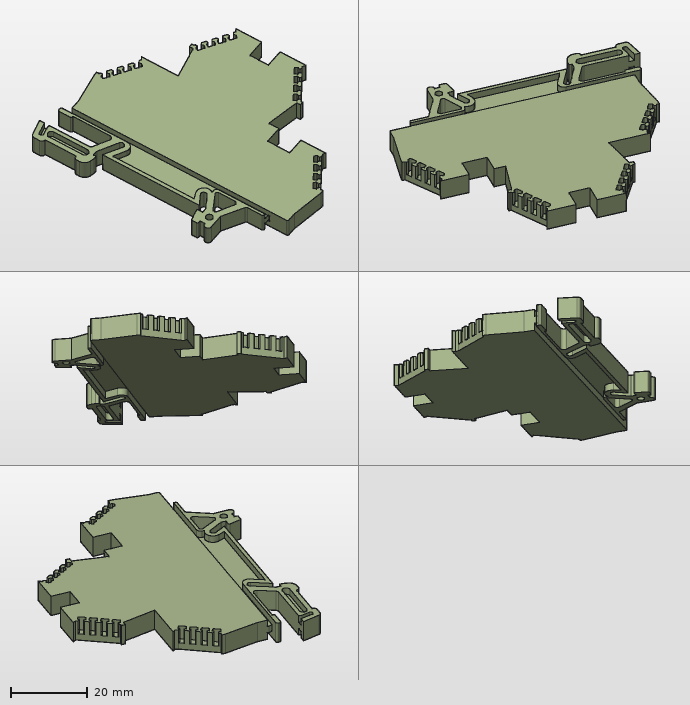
import cadquery as cq
import math


THICKNESS = 6.0
WEB_BOTTOM = 2.0
WEB_TOP = 4.0
MARKER_SLOT_DEPTH = 4.0

TOP_Y = 61.0
SHOULDER_Y = 39.0
HOUSING_BOTTOM_Y = 14.05

UPPER_CENTRE_X = 35.77
LOWER_CENTRE_X = 39.03
UPPER_NOTCH_WIDTH = 5.9
UPPER_NOTCH_DEPTH = 5.5
LOWER_NOTCH_LEFT = 53.45
LOWER_NOTCH_WIDTH = 7.0
LOWER_NOTCH_DEPTH = 5.25
HOUSING_CORNER_RADIUS = 0.5

RECESS_WIDTH = 0.5
RECESS_DEPTH = 0.5

UPPER_HALF_PROFILE = [
    (11.15, TOP_Y),
    (10.6, 60.05),
    (17.05, 50.05),
    (17.7, 50.05),
    (17.7, 48.95),
    (16.5, 48.95),
    (14.45, SHOULDER_Y),
]
LOWER_HALF_PROFILE = [
    (29.45, SHOULDER_Y),
    (28.85, 38.3),
    (29.15, 37.3),
    (35.3, 27.95),
    (36.07, 27.95),
    (36.07, 27.0),
    (34.4, 17.0),
    (34.4, HOUSING_BOTTOM_Y),
]
UPPER_MARKER_EDGE = UPPER_HALF_PROFILE[1:3]
LOWER_MARKER_EDGE = LOWER_HALF_PROFILE[2:4]

MARKER_COUNT = 4
MARKER_PITCH = 3.05
UPPER_MARKER_START = 1.45
LOWER_MARKER_START = 0.75
SLOT_MOUTH_HALF = 0.85
SLOT_NECK_HALF = 0.55
SLOT_HEAD_HALF = 1.15
SLOT_END_HALF = 1.05
SLOT_NECK_DEPTH = 0.6
SLOT_HEAD_DEPTH = 1.1
SLOT_END_DEPTH = 2.05
SLOT_END_RADIUS = 0.3
SLOT_OVERCUT = 0.3

CLIP_RIGHT_X = 67.05
CLIP_TOP_Y = 12.6
CLIP_TOP_RIGHT_Y = 12.75
STRIP_Y = 11.85
RAIL_BOTTOM_Y = 5.35
RAIL_FLOOR_Y = 6.45
FOOT_TOP_Y = 5.75
FOOT_STEP_Y = 3.95
FOOT_RECESS_Y = 1.04

WEB_LEFT_X = LOWER_CENTRE_X - LOWER_HALF_PROFILE[-1][0]
WEB_LEFT_CORNER_Y = 13.6
WEB_LEFT_LOW_X = 4.95

RAIL_INNER_EDGE = [
    (CLIP_RIGHT_X, CLIP_TOP_RIGHT_Y, 0),
    (51.5, CLIP_TOP_RIGHT_Y, 1.2),
    (51.3, 11.02, 0),
    (49.92, 11.95, 2.2),
    (47.34, 9.85, 2.2),
    (48.75, RAIL_FLOOR_Y, 0),
    (22.85, RAIL_FLOOR_Y, 0),
    (26.2, CLIP_TOP_Y, 1.7),
    (WEB_LEFT_LOW_X, CLIP_TOP_Y, 0),
]

CLIP_OUTER_EDGE = [
    (2.1, CLIP_TOP_Y, 0.5),
    (2.1, 11.2, 0.5),
    (6.4, 11.2, 0.4),
    (6.5, STRIP_Y, 0),
    (19.75, STRIP_Y, 0.9),
    (16.3, FOOT_TOP_Y, 0.9),
    (0.0, FOOT_TOP_Y, 0),
    (1.4, 0.0, 1.0),
    (5.05, 0.0, 1.03),
    (5.05, FOOT_RECESS_Y, 0),
    (14.85, FOOT_RECESS_Y, 0),
    (14.85, 0.0, 0.95),
    (18.55, 0.0, 2.4),
    (19.3, 3.0, 0),
    (19.3, FOOT_STEP_Y, 0),
    (18.4, FOOT_STEP_Y, 0),
    (18.4, RAIL_BOTTOM_Y, 0.5),
    (22.0, 11.9, 0.8),
    (23.75, 11.3, 0.8),
    (20.35, RAIL_BOTTOM_Y, 0),
    (51.15, RAIL_BOTTOM_Y, 0),
    (48.85, 9.33, 0.85),
    (50.4, 10.22, 0.85),
    (53.2, RAIL_BOTTOM_Y, 0.5),
    (53.2, FOOT_STEP_Y, 0),
    (51.4, FOOT_STEP_Y, 0.3),
    (52.3, 0.0, 0.3),
    (54.3, 0.0, 0.3),
    (54.4, FOOT_RECESS_Y, 0),
    (55.87, FOOT_RECESS_Y, 0),
    (55.87, 0.0, 1.03),
    (57.95, 0.0, 1.03),
    (57.95, 5.4, 0),
    (61.7, STRIP_Y, 0.6),
    (CLIP_RIGHT_X, STRIP_Y, 0.4),
]

WINDOW = [
    (51.85, STRIP_Y, 0.6),
    (59.35, STRIP_Y, 0.8),
    (55.55, 5.1, 0.75),
]
FOOT_HOLE_CENTRE = (55.65, 3.5)
FOOT_HOLE_DIAMETER = 2.0

FOOT_POCKET_CENTRE = (10.65, 3.5)
FOOT_POCKET_LENGTH = 12.8
FOOT_POCKET_WIDTH = 2.1
FOOT_SLIT = [
    (1.6, FOOT_TOP_Y, 0),
    (2.45, 1.8, 0.5),
    (3.75, 1.8, 0.5),
    (3.05, 4.8, 0.3),
    (3.1, FOOT_TOP_Y, 0),
]


def draw_rounded(points):
    """Closed outline through (x, y, radius) corners, each rounded by a tangent arc."""
    pieces = []
    for index, (x, y, radius) in enumerate(points):
        corner = cq.Vector(x, y)
        if radius == 0:
            pieces.append((corner, None, corner))
            continue
        before = cq.Vector(*points[index - 1][:2])
        after = cq.Vector(*points[(index + 1) % len(points)][:2])
        to_before = (before - corner).normalized()
        to_after = (after - corner).normalized()
        half_angle = to_before.getAngle(to_after) / 2
        tangent_length = radius / math.tan(half_angle)
        bisector = (to_before + to_after).normalized()
        middle = corner + bisector * (radius / math.sin(half_angle) - radius)
        start = corner + to_before * tangent_length
        end = corner + to_after * tangent_length
        pieces.append((start, middle, end))

    outline = cq.Workplane("XY").moveTo(*pieces[0][2].toTuple()[:2])
    for start, middle, end in pieces[1:] + pieces[:1]:
        outline = outline.lineTo(start.x, start.y)
        if middle is not None:
            outline = outline.threePointArc((middle.x, middle.y), (end.x, end.y))
    return outline.close()


def plate(points, bottom=0.0, top=THICKNESS):
    """Flat plate with a rounded outline between two Z levels."""
    return draw_rounded(points).extrude(top - bottom).translate((0, 0, bottom))


def top_edge_notch(left, width, depth, top_y):
    """Rectangular cutter for a notch that opens at a top edge."""
    return (
        cq.Workplane("XY")
        .rect(width, depth, centered=False)
        .extrude(THICKNESS)
        .translate((left, top_y - depth, 0))
    )


def marker_slots(edge, start_offset):
    """Cutter for the row of waisted slots along one sloped right-hand edge."""
    edge_start, edge_end = (cq.Vector(*point) for point in edge)
    along = (edge_end - edge_start).normalized()
    inward = cq.Vector(along.y, -along.x)
    half_profile = [
        (SLOT_MOUTH_HALF, -SLOT_OVERCUT, 0),
        (SLOT_MOUTH_HALF, 0, 0),
        (SLOT_NECK_HALF, SLOT_NECK_DEPTH, 0),
        (SLOT_HEAD_HALF, SLOT_HEAD_DEPTH, 0),
        (SLOT_END_HALF, SLOT_END_DEPTH, SLOT_END_RADIUS),
    ]
    profile = half_profile + [(-side, depth, r) for side, depth, r in reversed(half_profile)]
    slots = cq.Workplane("XY")
    for index in range(MARKER_COUNT):
        centre = edge_start + along * (start_offset + index * MARKER_PITCH)
        points = []
        for side, depth, radius in profile:
            point = centre + along * side + inward * depth
            points.append((point.x, point.y, radius))
        slots = slots.add(plate(points, THICKNESS - MARKER_SLOT_DEPTH))
    return slots.combine()


def tier(half_profile, marker_edge, marker_start, centre_x):
    """Mirror-symmetric housing tier with marker slots on both slopes."""
    mirrored = [(-x, y) for x, y in reversed(half_profile)]
    body = cq.Workplane("XY").polyline(half_profile + mirrored).close().extrude(THICKNESS)
    slots = marker_slots(marker_edge, marker_start)
    body = body.cut(slots).cut(slots.mirror("YZ"))
    return body.translate((centre_x, 0, 0))


def round_bottom_right_corner(lower_tier):
    """Round the vertical edge at the lower right corner of the lower tier."""
    corner_x = LOWER_CENTRE_X + LOWER_HALF_PROFILE[-1][0]
    edge_middle = (corner_x, HOUSING_BOTTOM_Y, THICKNESS / 2)
    edge = cq.selectors.NearestToPointSelector(edge_middle)
    return lower_tier.edges(edge).fillet(HOUSING_CORNER_RADIUS)


def make_housing():
    """Both tiers with their top notches and the recess beside the web."""
    upper = tier(UPPER_HALF_PROFILE, UPPER_MARKER_EDGE, UPPER_MARKER_START, UPPER_CENTRE_X)
    lower = tier(LOWER_HALF_PROFILE, LOWER_MARKER_EDGE, LOWER_MARKER_START, LOWER_CENTRE_X)
    upper_notch_left = UPPER_CENTRE_X - UPPER_NOTCH_WIDTH / 2
    upper_notch = top_edge_notch(upper_notch_left, UPPER_NOTCH_WIDTH, UPPER_NOTCH_DEPTH, TOP_Y)
    lower_notch = top_edge_notch(LOWER_NOTCH_LEFT, LOWER_NOTCH_WIDTH, LOWER_NOTCH_DEPTH, SHOULDER_Y)
    recess = (
        cq.Workplane("XY")
        .box(RECESS_WIDTH, RECESS_DEPTH, WEB_TOP - WEB_BOTTOM, centered=False)
        .translate((CLIP_RIGHT_X, HOUSING_BOTTOM_Y, WEB_BOTTOM))
    )
    lower = round_bottom_right_corner(lower)
    return upper.union(lower).cut(upper_notch).cut(lower_notch).cut(recess)


def make_web():
    """Thin mid-plane web joining the housing to the clip frame."""
    upper_edge = [
        (WEB_LEFT_X, WEB_LEFT_CORNER_Y, 0),
        (WEB_LEFT_X, HOUSING_BOTTOM_Y, 0),
        (CLIP_RIGHT_X, HOUSING_BOTTOM_Y, 0),
    ]
    return plate(upper_edge + RAIL_INNER_EDGE, WEB_BOTTOM, WEB_TOP)


def foot_recesses():
    """Cutter for the long pocket and the slit, sunk from both faces down to the web."""
    recesses = cq.Workplane("XY")
    for bottom, top in [(0, WEB_BOTTOM), (WEB_TOP, THICKNESS)]:
        pocket = (
            cq.Workplane("XY", origin=(*FOOT_POCKET_CENTRE, bottom))
            .slot2D(FOOT_POCKET_LENGTH, FOOT_POCKET_WIDTH)
            .extrude(top - bottom)
        )
        recesses = recesses.add(pocket).add(plate(FOOT_SLIT, bottom, top))
    return recesses.combine()


def make_clip():
    """Full-thickness spring frame with both feet, the rail floor and the flap."""
    hole = (
        cq.Workplane("XY", origin=(*FOOT_HOLE_CENTRE, 0))
        .circle(FOOT_HOLE_DIAMETER / 2)
        .extrude(THICKNESS)
    )
    frame = plate(CLIP_OUTER_EDGE + RAIL_INNER_EDGE)
    return frame.cut(plate(WINDOW)).cut(hole).cut(foot_recesses())


result = make_housing().union(make_web()).union(make_clip())